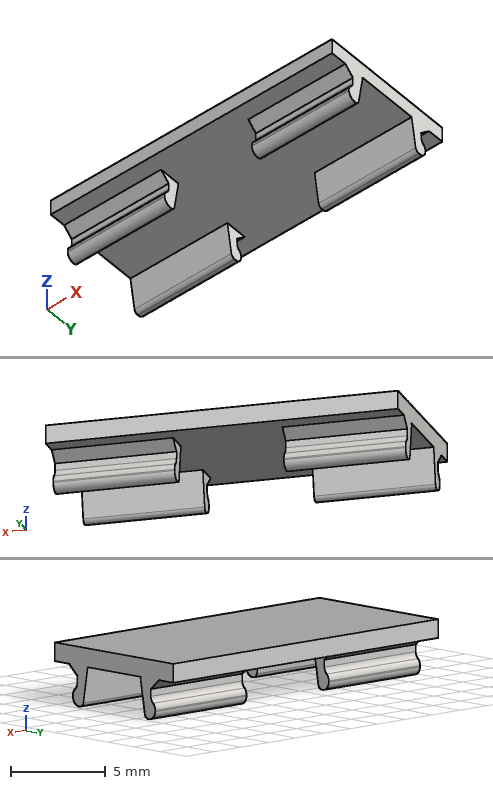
import cadquery as cq
import math

length = 19.4
width = 9.0
plate_thickness = 1.0
total_height = 3.2

leg_length = 6.7
root_inner_y = 2.0
inner_lean = math.radians(9.5)
neck_y = 2.8
bulge_y = 3.12
gusset_width = 0.62
gusset_depth = 0.56
neck_bottom_z = -1.94
bend_radius = 0.47
tip_radius = 0.48
tip_fillet = 0.3


def make_leg(start_x):
    """Extrude the leg on the +Y side along X, from start_x."""
    plate_bottom_z = -plate_thickness
    tip_center_y = bulge_y - tip_radius
    tip_center_z = tip_radius - total_height

    half_step = (bulge_y - neck_y) / 2
    bend_angle = math.acos(1 - half_step / bend_radius)
    half_drop = bend_radius * math.sin(bend_angle)
    bend_mid = (neck_y + half_step, neck_bottom_z - half_drop)
    bulge_top = (bulge_y, neck_bottom_z - 2 * half_drop)

    root_dy = root_inner_y - tip_center_y
    root_dz = plate_bottom_z - tip_center_z
    along = root_dy * math.sin(inner_lean) - root_dz * math.cos(inner_lean)
    offset = root_dy * math.cos(inner_lean) + root_dz * math.sin(inner_lean)
    inner_length = math.sqrt(tip_radius**2 - offset**2) - along
    inner_tip = (
        root_inner_y + inner_length * math.sin(inner_lean),
        plate_bottom_z - inner_length * math.cos(inner_lean),
    )

    leg = (
        cq.Workplane("YZ", origin=(start_x, 0, 0))
        .moveTo(root_inner_y, plate_bottom_z)
        .lineTo(neck_y + gusset_width, plate_bottom_z)
        .lineTo(neck_y, plate_bottom_z - gusset_depth)
        .lineTo(neck_y, neck_bottom_z)
        .tangentArcPoint(bend_mid, relative=False)
        .tangentArcPoint(bulge_top, relative=False)
        .lineTo(bulge_y, tip_center_z)
        .tangentArcPoint(inner_tip, relative=False)
        .close()
        .extrude(leg_length)
    )
    inner_corner = (start_x + leg_length / 2, *inner_tip)
    return leg.edges(cq.selectors.NearestToPointSelector(inner_corner)).fillet(tip_fillet)


result = cq.Workplane("XY").box(length, width, plate_thickness, centered=(True, True, False))
result = result.translate((0, 0, -plate_thickness))

for leg_start_x in (-length / 2, length / 2 - leg_length):
    leg = make_leg(leg_start_x)
    result = result.union(leg).union(leg.mirror("XZ"))